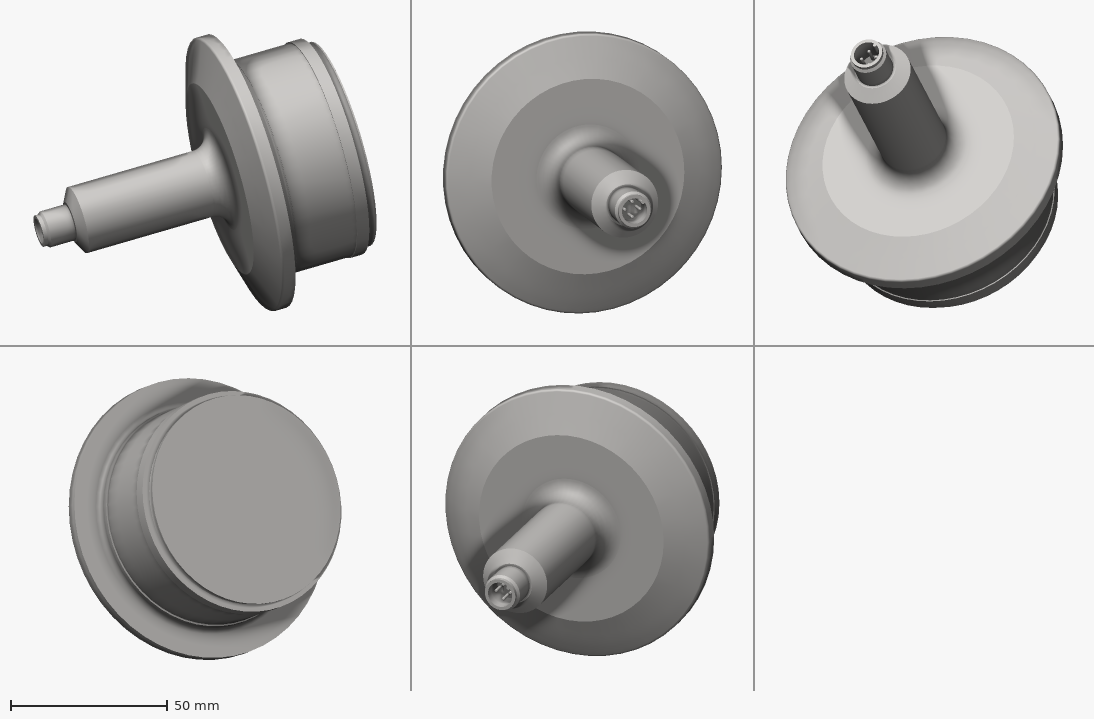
import cadquery as cq
import math


total_length = 102.5

lip_dia = 68.0
lip_end = 0.5
neck_dia = 65.8
neck_depth = 1.6
neck_base_dia = 67.0

body_dia = 71.0
band_dia = 71.9
back_band_start = 3.2
back_band_end = 7.3
relief_start = 27.6
relief_dia = 70.7
front_band_start = 28.2
front_band_end = 30.0
flange_back = 31.8

flange_dia = 91.0
flange_corner_depth = 36.1
flange_edge_radius = 0.9
flange_face_depth = 41.0
flange_face_dia = 63.5

stem_dia = 22.0
stem_fillet = 5.9
stem_end = 89.5
stem_cone_end = 91.9
stem_tip_dia = 13.4

connector_dia = 12.0
connector_tip_dia = 10.5
connector_chamfer_start = 100.5
connector_root_chamfer = 0.2
socket_dia = 8.3
socket_depth = 8.2
pin_dia = 1.0
pin_count = 4
pin_circle_radius = 2.5
pin_recess = 2.6
pin_tip_chamfer = 0.2
strip_height = 0.4
side_strip_length = 2.2
key_dia = 1.2
key_radius = 3.9
key_angle = 45.0

connector_chamfer_end = connector_chamfer_start + (connector_dia - connector_tip_dia) / 2
band_fillet = flange_back - front_band_end
floor_depth = total_length - socket_depth


def rim(diameter, depth):
    """Profile point on the given diameter at the given distance from the back face."""
    return (diameter / 2, -depth)


def flange_edge_arc():
    """Start, middle and end of the round between the flange rim and its conical front."""
    cone_run = (flange_dia - flange_face_dia) / 2
    cone_rise = flange_face_depth - flange_corner_depth
    turn = math.atan2(cone_run, cone_rise)
    centre_radius = flange_dia / 2 - flange_edge_radius
    centre_depth = flange_corner_depth - flange_edge_radius * math.tan(turn / 2)

    def on_arc(angle):
        return (
            centre_radius + flange_edge_radius * math.cos(angle),
            -(centre_depth + flange_edge_radius * math.sin(angle)),
        )

    return on_arc(0), on_arc(turn / 2), on_arc(turn)


def quarter_fillet_middle(centre_radius, centre_depth, radius, depth_sign):
    """Middle of a concave quarter round, on the side of its centre nearest the axis."""
    offset = radius * math.sqrt(0.5)
    return (centre_radius - offset, -(centre_depth + depth_sign * offset))


def turned_body():
    edge_start, edge_middle, edge_end = flange_edge_arc()
    band_fillet_middle = quarter_fillet_middle(
        band_dia / 2 + band_fillet, front_band_end, band_fillet, 1
    )
    stem_fillet_middle = quarter_fillet_middle(
        stem_dia / 2 + stem_fillet, flange_face_depth + stem_fillet, stem_fillet, -1
    )
    profile = (
        cq.Workplane("XY")
        .moveTo(0, 0)
        .lineTo(*rim(lip_dia, 0))
        .lineTo(*rim(lip_dia, lip_end))
        .threePointArc(rim(neck_dia, neck_depth), rim(neck_base_dia, back_band_start))
        .lineTo(*rim(band_dia, back_band_start))
        .lineTo(*rim(band_dia, back_band_end))
        .lineTo(*rim(body_dia, back_band_end))
        .lineTo(*rim(body_dia, relief_start))
        .lineTo(*rim(relief_dia, relief_start))
        .lineTo(*rim(relief_dia, front_band_start))
        .lineTo(*rim(band_dia, front_band_start))
        .lineTo(*rim(band_dia, front_band_end))
        .threePointArc(band_fillet_middle, rim(band_dia + 2 * band_fillet, flange_back))
        .lineTo(*rim(flange_dia, flange_back))
        .lineTo(*edge_start)
        .threePointArc(edge_middle, edge_end)
        .lineTo(*rim(flange_face_dia, flange_face_depth))
        .lineTo(*rim(stem_dia + 2 * stem_fillet, flange_face_depth))
        .threePointArc(stem_fillet_middle, rim(stem_dia, flange_face_depth + stem_fillet))
        .lineTo(*rim(stem_dia, stem_end))
        .lineTo(*rim(stem_tip_dia, stem_cone_end))
        .lineTo(*rim(connector_dia - 2 * connector_root_chamfer, stem_cone_end))
        .lineTo(*rim(connector_dia, stem_cone_end + connector_root_chamfer))
        .lineTo(*rim(connector_dia, connector_chamfer_start))
        .lineTo(*rim(connector_tip_dia, connector_chamfer_end))
        .lineTo(*rim(connector_tip_dia, total_length))
        .lineTo(0, -total_length)
        .close()
    )
    return profile.revolve(360, (0, 0, 0), (0, 1, 0))


def rod(diameter, start_depth, end_depth, radial=0.0, angle=0.0):
    """Cylinder along Y, set off the axis by a radial distance at an angle from +X toward +Z."""
    x = radial * math.cos(math.radians(angle))
    z = radial * math.sin(math.radians(angle))
    length = end_depth - start_depth
    solid = cq.Solid.makeCylinder(
        diameter / 2, length, cq.Vector(x, -start_depth, z), cq.Vector(0, -1, 0)
    )
    return cq.Workplane(obj=solid)


def contact_strip(x, top, bottom):
    """Low strip on the socket floor, as wide as a pin, between two heights in Z."""
    return cq.Workplane("XY").box(
        pin_dia, strip_height, top - bottom, centered=(True, False, False)
    ).translate((x, -floor_depth - strip_height, bottom))


def contact_pin(angle):
    pin = rod(pin_dia, floor_depth, total_length - pin_recess, pin_circle_radius, angle)
    return pin.faces("<Y").chamfer(pin_tip_chamfer)


def socket_with_pins(part):
    part = part.cut(rod(socket_dia, floor_depth, total_length))
    for side in (-1, 1):
        part = part.union(contact_strip(side * pin_circle_radius, 0, -side_strip_length))
    part = part.union(contact_strip(0, pin_circle_radius, -pin_circle_radius))
    for index in range(pin_count):
        part = part.union(contact_pin(index * 360 / pin_count))
    return part.union(rod(key_dia, floor_depth, total_length, key_radius, key_angle))


result = socket_with_pins(turned_body())